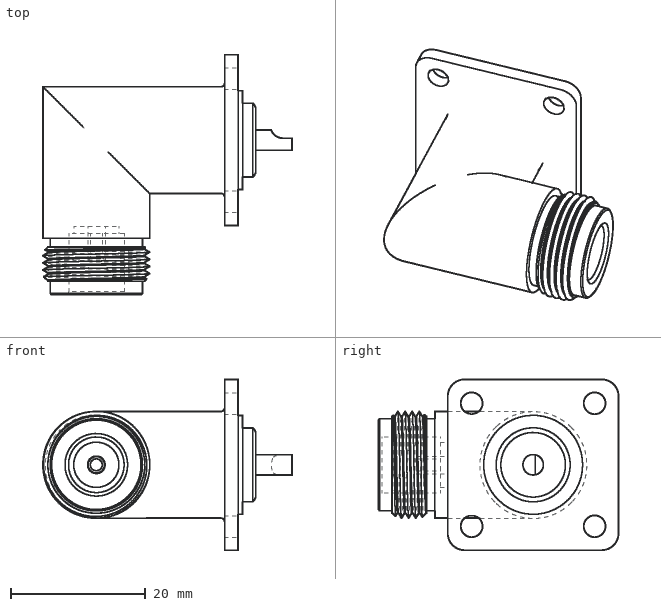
import cadquery as cq
import math


body_diameter = 15.88
body_radius = body_diameter / 2
mating_arm_length = 14.58

flange_size = 25.4
flange_thickness = 2.0
flange_start = 19.05
flange_corner_radius = 2.54
flange_hole_spacing = 18.26
flange_hole_diameter = 3.2
flange_root_fillet = 0.55
flange_end = flange_start + flange_thickness

shoulder_radius = 7.35
shoulder_length = 0.69
spigot_radius = 5.5
spigot_length = 1.97
spigot_nose_length = 0.24
spigot_middle_radius = 5.25
spigot_end_radius = 4.8
shoulder_end = flange_end + shoulder_length
spigot_end = shoulder_end + spigot_length

pin_radius = 1.52
overall_length_x = 37.02
pin_end = overall_length_x - body_radius
pin_flat_y = 0.31
pin_flat_length = 1.4
pin_cut_radius = 1.8

overall_length_y = 35.69
mating_end = overall_length_y - flange_size / 2
neck_radius = 6.86
neck_chamfer = 0.22

thread_start = 15.82
thread_end = 20.98
mm_per_inch = 25.4
threads_per_inch = 24
thread_pitch = mm_per_inch / threads_per_inch
thread_crest_radius = body_radius
thread_root_radius = 7.2
thread_overlap = 0.1
thread_half_width = 0.48 * thread_pitch
thread_crest_position = 16.64
thread_end_bevel = 0.8
lead_in_turns = 2

bore_radius = 4.13
bore_depth = 9.2
bore_chamfer = 0.52
recess_radius = 3.36
recess_depth = 10.2
contact_radius = 1.3
contact_tip_depth = 5.2
contact_hole_radius = 0.88
contact_hole_depth = 4.0
contact_mouth_radius = 1.22


def revolve_about_x(profile):
    """Solid of revolution from (x, radius) points about the X axis."""
    return cq.Workplane("XY").polyline(profile).close().revolve(360, (0, 0), (1, 0))


def revolve_about_y(profile):
    """Solid of revolution from (radius, y) points about the Y axis."""
    return cq.Workplane("XY").polyline(profile).close().revolve(360, (0, 0), (0, 1))


def cylinder_along_mating_axis(radius, near_end, far_end):
    """Cylinder on the mating axis between two distances from the origin."""
    return cq.Workplane("XZ").workplane(offset=near_end).circle(radius).extrude(far_end - near_end)


def make_elbow():
    """Two equal cylinders joined on a 45 degree mitre."""
    mitre_size = flange_start + mating_arm_length
    mating_arm = cylinder_along_mating_axis(body_radius, -body_radius, mating_arm_length)
    flange_arm = cq.Workplane("YZ").workplane(offset=-body_radius).circle(body_radius)
    flange_arm = flange_arm.extrude(flange_start + body_radius)
    mitre_corners = [(-mitre_size, mitre_size), (mitre_size, -mitre_size)]
    below_mitre = cq.Workplane("XY").polyline(mitre_corners + [(-mitre_size, -mitre_size)]).close()
    above_mitre = cq.Workplane("XY").polyline(mitre_corners + [(mitre_size, mitre_size)]).close()
    lower_half = mating_arm.intersect(below_mitre.extrude(mitre_size, both=True))
    upper_half = flange_arm.intersect(above_mitre.extrude(mitre_size, both=True))
    return lower_half.union(upper_half)


def make_flange():
    """Square plate with rounded corners and four mounting holes."""
    flange = cq.Workplane("YZ").workplane(offset=flange_start).rect(flange_size, flange_size)
    flange = flange.extrude(flange_thickness).edges("|X").fillet(flange_corner_radius)
    return (
        flange.faces(">X")
        .workplane(origin=(0, 0, 0))
        .rect(flange_hole_spacing, flange_hole_spacing, forConstruction=True)
        .vertices()
        .hole(flange_hole_diameter)
    )


def make_flange_root():
    """Ring with a concave quarter-round face between the flange arm and the flange."""
    ring_start = flange_start - flange_root_fillet
    ring_radius = body_radius + flange_root_fillet
    mid_offset = flange_root_fillet * math.sqrt(0.5)
    return (
        cq.Workplane("XY")
        .moveTo(ring_start, 0)
        .lineTo(ring_start, body_radius)
        .threePointArc((ring_start + mid_offset, ring_radius - mid_offset), (flange_start, ring_radius))
        .lineTo(flange_start, 0)
        .close()
        .revolve(360, (0, 0), (1, 0))
    )


def make_spigot():
    """Shoulder and smaller spigot with a two-step bevelled nose."""
    return revolve_about_x([
        (flange_end, 0),
        (flange_end, shoulder_radius),
        (shoulder_end, shoulder_radius),
        (shoulder_end, spigot_radius),
        (spigot_end - 2 * spigot_nose_length, spigot_radius),
        (spigot_end - spigot_nose_length, spigot_middle_radius),
        (spigot_end, spigot_end_radius),
        (spigot_end, 0),
    ])


def make_pin():
    """Round pin with a flat at its tip that runs out in an arc."""
    pin = cq.Workplane("YZ").workplane(offset=spigot_end).circle(pin_radius).extrude(pin_end - spigot_end)
    flat_start = pin_end - pin_flat_length
    cut_top = pin_flat_y + pin_cut_radius
    mid_offset = pin_cut_radius * math.sqrt(0.5)
    cutter = (
        cq.Workplane("XY")
        .moveTo(pin_end, pin_flat_y)
        .lineTo(flat_start, pin_flat_y)
        .threePointArc((flat_start - mid_offset, cut_top - mid_offset), (flat_start - pin_cut_radius, cut_top))
        .lineTo(pin_end, cut_top)
        .close()
        .extrude(pin_radius, both=True)
    )
    return pin.cut(cutter)


def make_mating_end():
    """Plain neck and threaded collar."""
    neck = cylinder_along_mating_axis(neck_radius, mating_arm_length, mating_end)
    neck = neck.faces("<Y").chamfer(neck_chamfer)
    collar = cylinder_along_mating_axis(thread_root_radius, thread_start, thread_end)
    return neck.union(collar)


def make_thread():
    """Right-hand V ridge, trimmed by a cylinder with bevelled ends."""
    inner_radius = thread_root_radius - thread_overlap
    helix_start = thread_crest_position - lead_in_turns * thread_pitch
    helix_length = thread_end - helix_start + thread_pitch
    path = cq.Workplane(cq.Wire.makeHelix(thread_pitch, helix_length, inner_radius))
    ridge_profile = [
        (inner_radius, -thread_half_width),
        (thread_crest_radius, 0),
        (inner_radius, thread_half_width),
    ]
    ridge = cq.Workplane("XZ").polyline(ridge_profile).close().sweep(path, isFrenet=True)
    ridge = ridge.rotate((0, 0, 0), (1, 0, 0), 90).translate((0, -helix_start, 0))
    envelope = cylinder_along_mating_axis(thread_crest_radius + thread_overlap, thread_start, thread_end)
    envelope = envelope.faces("<Y or >Y").chamfer(thread_end_bevel + thread_overlap)
    return ridge.intersect(envelope)


def make_socket():
    """Chamfered mating bore with a narrower recess at its bottom."""
    bore_floor = bore_depth - mating_end
    recess_floor = recess_depth - mating_end
    return revolve_about_y([
        (0, -mating_end),
        (bore_radius + bore_chamfer, -mating_end),
        (bore_radius, bore_chamfer - mating_end),
        (bore_radius, bore_floor),
        (recess_radius, bore_floor),
        (recess_radius, recess_floor),
        (0, recess_floor),
    ])


def make_contact():
    """Hollow centre contact, countersunk at its tip, standing on the recess floor."""
    tip = contact_tip_depth - mating_end
    base = recess_depth - mating_end
    hole_floor = tip + contact_hole_depth
    countersink_depth = contact_mouth_radius - contact_hole_radius
    return revolve_about_y([
        (0, hole_floor),
        (contact_hole_radius, hole_floor),
        (contact_hole_radius, tip + countersink_depth),
        (contact_mouth_radius, tip),
        (contact_radius, tip),
        (contact_radius, base),
        (0, base),
    ])


result = (
    make_elbow()
    .union(make_flange())
    .union(make_flange_root())
    .union(make_spigot())
    .union(make_pin())
    .union(make_mating_end())
    .union(make_thread())
    .cut(make_socket())
    .union(make_contact())
)